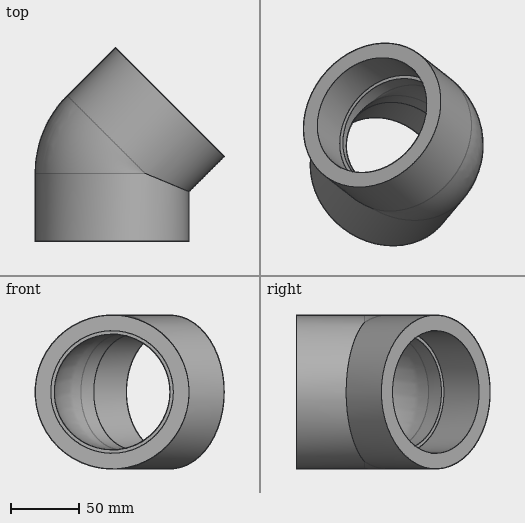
import cadquery as cq
import math

outer_diameter = 113.0
socket_diameter = 90.0
bore_diameter = 84.9
leg_length = 50.0
socket_depth = 36.6
bend_radius = 24.2
bend_angle = 45

pivot = (bend_radius, leg_length, 0)


def turn_to_second_leg(body):
    """Mirror a body of the first leg across the mid-plane of the bend."""
    half_angle = math.radians(bend_angle / 2)
    normal = cq.Vector(math.sin(half_angle), math.cos(half_angle), 0)
    return body.mirror(normal, pivot)


def leg_cylinder(diameter, length):
    """Cylinder along +Y on the first leg's axis."""
    return cq.Workplane("XZ").circle(diameter / 2).extrude(-length)


def bend(diameter):
    """Outer side of the bend: the circle beyond the pivot line, swept around it."""
    radius = diameter / 2
    half_chord = math.sqrt(radius**2 - bend_radius**2)
    return (
        cq.Workplane("XZ", origin=(0, leg_length, 0))
        .moveTo(bend_radius, -half_chord)
        .threePointArc((-radius, 0), (bend_radius, half_chord))
        .close()
        .revolve(bend_angle, (bend_radius, 1.4, 0), (bend_radius, 0, 0))
    )


def elbow(diameter):
    """Two straight legs joined by the bend; the legs meet in a miter on the inner side."""
    leg = leg_cylinder(diameter, leg_length)
    return leg.union(turn_to_second_leg(leg)).union(bend(diameter))


socket = leg_cylinder(socket_diameter, socket_depth)

result = (
    elbow(outer_diameter)
    .cut(elbow(bore_diameter))
    .cut(socket)
    .cut(turn_to_second_leg(socket))
)